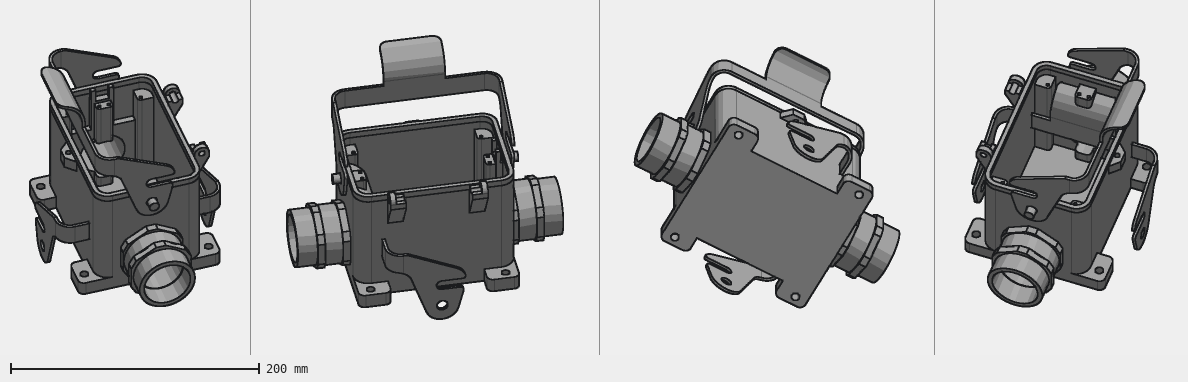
import cadquery as cq
import math

body_length = 132.0
body_width = 90.0
body_height = 100.0
corner_radius = 12.5
wall = 3.9
floor_thickness = 4.0
seal_height = 5.25
half_length = body_length / 2
half_width = body_width / 2
inner_half_length = half_length - wall
inner_half_width = half_width - wall
housing_top = body_height - seal_height

foot_length = 26.5
foot_height = 12.0
foot_reach = 60.0
foot_radius = 5.0
foot_hole_diameter = 6.5
foot_hole_x = 55.5
foot_hole_y = 52.75

post_face_x = 49.0
corner_post_y = 27.75
center_post_width = 13.8
post_top = 87.5
post_radius = 3.0
post_hole_diameter = 2.46
post_hole_depth = 10.0
post_hole_x = 52.4
corner_post_hole_y = 31.0
center_post_hole_y = 4.0

end_pad_face_x = 56.6
end_pad_top = 60.0
clip_half_width = 9.5
clip_top = 90.0
prong_width = 3.8
prong_back_x = 60.2
prong_top = 101.5

pin_diameter = 8.0
pin_end_x = 76.0
pin_z = 87.29

catch_base_length = 25.6
catch_face_length = 10.0
catch_depth = 7.75
catch_height = 10.0
catch_hole_diameter = 4.13
catch_hole_offset = 2.8

lug_outer_x = 40.0
lug_length = 12.8
lug_head_length = 4.8
lug_radius = 6.2
lug_hole_diameter = 5.1
lug_y = 52.25
lug_z = 99.5
lug_shoulder_z = 94.5
lug_root_z = 71.0

gland_z = 32.0
gland_end_x = 109.0
gland_body_diameter = 49.3
gland_cap_diameter = 47.0
gland_bore = 38.0
gland_mouth_bore = 39.14
gland_mouth_depth = 17.5
hex_flats = 50.7
hex_truncation = 53.8
inner_hex_end_x = 72.2
outer_hex_start_x = 86.9
outer_hex_end_x = 93.0

lever_width = 139.5
lever_thickness = 2.5
lever_front = 44.5
lever_bend_radius = 12.5
lever_eye_radius = 14.0
lever_hole_diameter = 9.0
band_bottom = 38.0
band_top = 55.1
front_edge_angle = 70.5
rear_edge_angle = 104.4
throat_radius = 12.0
slot_bottom = 16.35
slot_width = 8.5
slot_end_center = 0.4
lip_radius = 3.0
nose_low = (-16.9, slot_bottom + slot_width)
nose_tip = (-19.1, 28.3)
nose_high = (-12.4, 35.6)
slope_top = (28.6, band_top)
tab_width = 50.5
tab_arc_start = 60.0
tab_radius = 22.5
tab_corner_radius = 7.5


def box(x_range, y_range, z_range):
    """Box spanning the given (low, high) ranges."""
    size = [high - low for low, high in (x_range, y_range, z_range)]
    corner = (x_range[0], y_range[0], z_range[0])
    return cq.Workplane("XY").box(*size, centered=False).translate(corner)


def x_cylinder(diameter, x_low, x_high, z):
    """Cylinder along X, centred on the middle plane at height z."""
    return (cq.Workplane("YZ", origin=(x_low, 0, z))
            .circle(diameter / 2).extrude(x_high - x_low))


def rounded_block(length, width, radius, z_low, z_high):
    return (cq.Workplane("XY", origin=(0, 0, z_low))
            .rect(length, width).extrude(z_high - z_low).edges("|Z").fillet(radius))


def mirrored_pair(shape):
    """The shape together with its mirror image across the YZ plane."""
    return shape.union(shape.mirror("YZ"))


def cavity(z_low, z_high):
    return rounded_block(2 * inner_half_length, 2 * inner_half_width,
                         corner_radius - wall, z_low, z_high)


def shell_outline(z_low, z_high):
    return rounded_block(body_length, body_width, corner_radius, z_low, z_high)


def make_seal():
    return shell_outline(housing_top, body_height).cut(cavity(housing_top, body_height))


def make_foot(side):
    """Foot at the +X end, on the +Y (side=1) or -Y (side=-1) side."""
    root_y = half_width - corner_radius
    y_range = sorted((side * root_y, side * foot_reach))
    foot = box((half_length - foot_length, half_length), y_range, (0, foot_height))
    outer_face = ">Y" if side > 0 else "<Y"
    return foot.faces(outer_face).edges("|Z").fillet(foot_radius)


def foot_holes():
    points = [(x, y) for x in (-foot_hole_x, foot_hole_x) for y in (-foot_hole_y, foot_hole_y)]
    return cq.Workplane("XY").pushPoints(points).circle(foot_hole_diameter / 2).extrude(foot_height)


def insert_posts():
    """Corner posts and centre post at the +X end, with their screw holes."""
    x_range = (post_face_x, inner_half_length)
    z_range = (floor_thickness, post_top)
    half_center = center_post_width / 2
    posts = box(x_range, (-half_center, half_center), z_range).edges("|Z and <X").fillet(post_radius)
    hole_points = [(post_hole_x, -center_post_hole_y), (post_hole_x, center_post_hole_y)]
    for side in (-1, 1):
        y_range = sorted((side * corner_post_y, side * inner_half_width))
        inner_edge = "|Z and <X and " + ("<Y" if side > 0 else ">Y")
        posts = posts.union(box(x_range, y_range, z_range).edges(inner_edge).fillet(post_radius))
        hole_points.append((post_hole_x, side * corner_post_hole_y))
    holes = (cq.Workplane("XY", origin=(0, 0, post_top - post_hole_depth))
             .pushPoints(hole_points).circle(post_hole_diameter / 2).extrude(post_hole_depth))
    return posts.cut(holes).intersect(cavity(floor_thickness, post_top))


def end_pad():
    return box((end_pad_face_x, inner_half_length), (-corner_post_y, corner_post_y),
               (floor_thickness, end_pad_top))


def clip():
    """Clip on the inside of the -X wall with two upright prongs."""
    part = box((-inner_half_length, -end_pad_face_x), (-clip_half_width, clip_half_width),
               (end_pad_top, clip_top))
    for side in (-1, 1):
        y_range = sorted((side * clip_half_width, side * (clip_half_width - prong_width)))
        part = part.union(box((-prong_back_x, -end_pad_face_x), y_range, (clip_top, prong_top)))
    return part


def catch():
    """Trapezoidal catch on the -Y wall with a vertical hole."""
    face_y = -half_width - catch_depth
    low_z = housing_top - catch_height
    block = (cq.Workplane("XY", origin=(0, 0, low_z))
             .polyline([(-catch_base_length / 2, -half_width), (-catch_face_length / 2, face_y),
                        (catch_face_length / 2, face_y), (catch_base_length / 2, -half_width)])
             .close().extrude(catch_height))
    hole = (cq.Workplane("XY", origin=(0, -half_width - catch_hole_offset, low_z))
            .circle(catch_hole_diameter / 2).extrude(catch_height))
    return block.cut(hole)


def hinge_lug():
    """Lug at +X on the +Y wall: a full eye, then a half-open cradle toward the middle."""
    inner_x = lug_outer_x - lug_length
    lug = (cq.Workplane("YZ", origin=(inner_x, 0, 0))
           .moveTo(half_width, lug_root_z)
           .lineTo(lug_y + lug_radius, lug_shoulder_z)
           .lineTo(lug_y + lug_radius, lug_z)
           .threePointArc((lug_y, lug_z + lug_radius), (lug_y - lug_radius, lug_z))
           .lineTo(lug_y - lug_radius, lug_shoulder_z)
           .lineTo(half_width, lug_shoulder_z)
           .close().extrude(lug_length))
    bore = (cq.Workplane("YZ", origin=(inner_x, lug_y, lug_z))
            .circle(lug_hole_diameter / 2).extrude(lug_length))
    open_top = box((inner_x, lug_outer_x - lug_head_length),
                   (half_width, lug_y + lug_radius), (lug_z, lug_z + lug_radius))
    return lug.cut(bore).cut(open_top)


def gland_hex(x_low, x_high):
    """Hexagon along X, with flats facing +-Y and its corners cut off."""
    def prism(across_flats, turn):
        return (cq.Workplane("YZ", origin=(x_low, 0, gland_z))
                .transformed(rotate=(0, 0, turn))
                .polygon(6, across_flats, circumscribed=True).extrude(x_high - x_low))
    return prism(hex_flats, 0).intersect(prism(hex_truncation, 30))


def gland():
    """Outside of the gland at the +X end."""
    return (gland_hex(half_length, inner_hex_end_x)
            .union(x_cylinder(gland_body_diameter, half_length, outer_hex_start_x, gland_z))
            .union(gland_hex(outer_hex_start_x, outer_hex_end_x))
            .union(x_cylinder(gland_cap_diameter, outer_hex_end_x, gland_end_x, gland_z)))


def gland_bores():
    through = x_cylinder(gland_bore, -gland_end_x, gland_end_x, gland_z)
    mouth = x_cylinder(gland_mouth_bore, gland_end_x - gland_mouth_depth, gland_end_x, gland_z)
    return through.union(mirrored_pair(mouth))


def pivot_pin():
    return x_cylinder(pin_diameter, inner_half_length, pin_end_x, pin_z)


def make_housing(embedded_lever):
    """Housing with its glands, relieved where the embedded lever passes through."""
    housing = shell_outline(0, housing_top)
    for side in (-1, 1):
        housing = housing.union(mirrored_pair(make_foot(side)))
    housing = housing.cut(cavity(floor_thickness, housing_top)).cut(foot_holes())
    for feature in (insert_posts(), end_pad(), hinge_lug(), gland(), pivot_pin()):
        housing = housing.union(mirrored_pair(feature))
    housing = housing.union(clip()).union(catch())
    return housing.cut(gland_bores()).cut(embedded_lever)


def lever_side_profile():
    """Side plate outline, extruded over the whole lever width along Y."""
    def eye_point(angle):
        turn = math.radians(angle)
        return (lever_eye_radius * math.cos(turn), lever_eye_radius * math.sin(turn))

    def along_edge(start, angle, height):
        return (start[0] + (height - start[1]) / math.tan(math.radians(angle)), height)

    front_tangent = eye_point(front_edge_angle - 90)
    rear_tangent = eye_point(rear_edge_angle + 90)
    throat = along_edge(front_tangent, front_edge_angle, band_bottom)
    lip = along_edge(rear_tangent, rear_edge_angle, slot_bottom)
    slot_top = slot_bottom + slot_width
    slot_middle = (slot_end_center + slot_width / 2, slot_bottom + slot_width / 2)

    profile = (cq.Workplane("XZ", origin=(0, lever_width / 2, 0))
               .moveTo(*rear_tangent)
               .threePointArc((0, -lever_eye_radius), front_tangent)
               .lineTo(*throat)
               .lineTo(lever_front, band_bottom)
               .lineTo(lever_front, band_top)
               .lineTo(*slope_top)
               .lineTo(*nose_high)
               .tangentArcPoint(nose_tip, relative=False)
               .tangentArcPoint(nose_low, relative=False)
               .lineTo(slot_end_center, slot_top)
               .threePointArc(slot_middle, (slot_end_center, slot_bottom))
               .lineTo(*lip)
               .close().extrude(lever_width))
    for corner, radius in ((throat, throat_radius), (lip, lip_radius)):
        nearest = cq.selectors.NearestToPointSelector((corner[0], 0, corner[1]))
        profile = profile.edges("|Y").edges(nearest).fillet(radius)
    hole = (cq.Workplane("XZ", origin=(0, lever_width / 2, 0))
            .circle(lever_hole_diameter / 2).extrude(lever_width))
    return profile.cut(hole)


def lever_strap():
    """U-shaped sheet, open toward -X, taller than the lever's side plates."""
    reach = 2 * lever_front
    height = 2 * band_top

    def outline(inset):
        return (cq.Workplane("XY", origin=(-inset, 0, 0))
                .box(reach, lever_width - 2 * inset, height)
                .edges("|Z and >X").fillet(lever_bend_radius - inset))

    return outline(0).cut(outline(lever_thickness))


def lever_tab():
    """Thumb tab rising from the band and curling outward through a quarter circle."""
    inner_radius = tab_radius - lever_thickness
    tip_x = lever_front + inner_radius
    back_x = lever_front - lever_thickness
    diagonal = math.sqrt(0.5)
    tab = (cq.Workplane("XZ", origin=(0, tab_width / 2, 0))
           .moveTo(back_x, band_top)
           .lineTo(back_x, tab_arc_start)
           .threePointArc((tip_x - tab_radius * diagonal, tab_arc_start + tab_radius * diagonal),
                          (tip_x, tab_arc_start + tab_radius))
           .lineTo(tip_x, tab_arc_start + inner_radius)
           .threePointArc((tip_x - inner_radius * diagonal, tab_arc_start + inner_radius * diagonal),
                          (lever_front, tab_arc_start))
           .lineTo(lever_front, band_top)
           .close().extrude(tab_width))
    return tab.faces(">X").edges("|Z").fillet(tab_corner_radius)


def make_lever():
    """Lever with its band toward +X and its pivot axis along Y."""
    return lever_strap().intersect(lever_side_profile()).union(lever_tab())


side_lever = make_lever()
upper_lever = make_lever().rotate((0, 0, 0), (0, 0, 1), -90).translate((0, 0, pin_z))
seal = make_seal()
housing = make_housing(side_lever)

result = cq.Compound.makeCompound([housing.val(), seal.val(), upper_lever.val(), side_lever.val()])